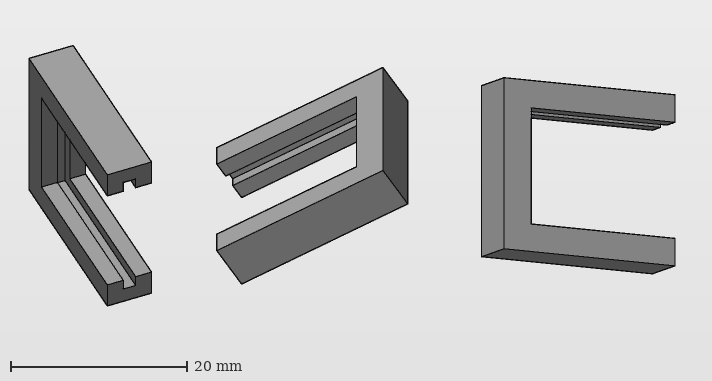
import cadquery as cq

length = 22.0
width = 5.5
height = 19.8

arm_thickness = 3.2
back_thickness = 3.52

groove_width = 1.55
groove_depth = 1.32

opening_length = length - back_thickness
opening_height = height - 2 * arm_thickness


def cut_block(block_length, block_width, block_height):
    """Block centred on Y and Z that ends at the open +X end of the frame."""
    return (
        cq.Workplane("XY")
        .box(block_length, block_width, block_height)
        .translate(((length - block_length) / 2, 0, 0))
    )


frame = cq.Workplane("XY").box(length, width, height)
opening = cut_block(opening_length, width, opening_height)

groove = cut_block(
    opening_length + groove_depth,
    groove_width,
    opening_height + 2 * groove_depth,
)

result = frame.cut(opening).cut(groove)